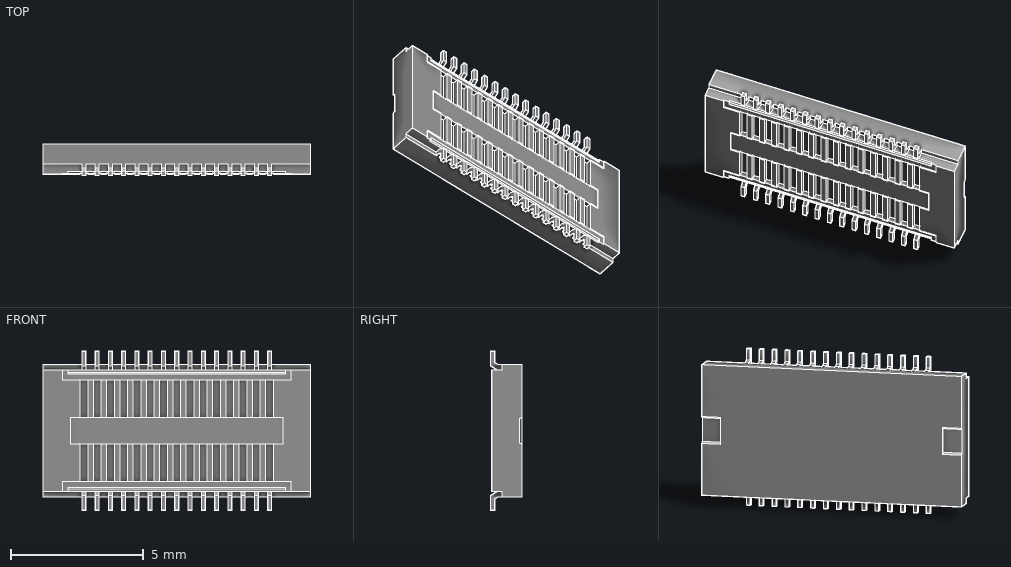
import cadquery as cq
LENGTH = 10.1
HOUSING_DEPTH = 1.15
HOUSING_HEIGHT = 5.01
FRONT_HEIGHT = 4.6
LEDGE_DEPTH = 0.38

CONTACT_COUNT = 15
PITCH = 0.5
CONTACT_WIDTH = 0.15
CONTACT_THICKNESS = 0.17
OVERALL_DEPTH = 1.2
OVERALL_HEIGHT = 6.0
BEND_START = 0.92
BEND_RISE = 0.07
HEEL_START = 0.96
HEEL_RISE = 0.15

SLOT_WIDTH = 0.29
SLOT_DEPTH = 0.22

RECESS_DEPTH = 0.04
BAR_LENGTH = 8.02
BAR_HEIGHT = 1.0
BAND_LENGTH = 8.61
BAND_INNER_Z = 1.91

REBATE_LENGTH = 8.2
REBATE_DEPTH = 0.1
REBATE_HEIGHT = 0.1
BEVEL_HEIGHT = 0.05

NOTCH_LENGTH = 0.73
NOTCH_DEPTH = 0.1
NOTCH_OPENING = 1.03
NOTCH_FLOOR = 0.91

FRONT_Y = -HOUSING_DEPTH
LEDGE_Y = FRONT_Y + LEDGE_DEPTH
HOUSING_TOP = HOUSING_HEIGHT / 2
LEDGE_Z = FRONT_HEIGHT / 2


def box_between(x_range, y_range, z_range):
    """Axis-aligned box given by its lower and upper limits on each axis."""
    lows, highs = zip(x_range, y_range, z_range)
    sizes = [high - low for low, high in zip(lows, highs)]
    return cq.Workplane("XY").box(*sizes, centered=False).translate(lows)


def extrude_along_x(yz_points, length, center_x=0):
    """Prism along X from a closed YZ outline, centred on center_x."""
    prism = cq.Workplane("YZ").polyline(yz_points).close().extrude(length / 2, both=True)
    return prism.translate((center_x, 0, 0))


def both_rows(upper):
    """The upper feature together with its mirror image below."""
    return upper.add(upper.mirror("XY")).combine()


def centered(size):
    return (-size / 2, size / 2)


def housing_blank():
    back = box_between(centered(LENGTH), (LEDGE_Y, 0), centered(HOUSING_HEIGHT))
    front = box_between(centered(LENGTH), (FRONT_Y, LEDGE_Y), centered(FRONT_HEIGHT))
    return back.union(front)


def bar_recess():
    return box_between(centered(BAR_LENGTH), (FRONT_Y, FRONT_Y + RECESS_DEPTH), centered(BAR_HEIGHT))


def band_recess():
    return box_between(centered(BAND_LENGTH), (FRONT_Y, FRONT_Y + RECESS_DEPTH), (BAND_INNER_Z, LEDGE_Z))


def edge_rebate():
    floor_z = LEDGE_Z - REBATE_HEIGHT
    band_y = FRONT_Y + RECESS_DEPTH
    floor_y = FRONT_Y + REBATE_DEPTH
    outline = [
        (band_y, floor_z - BEVEL_HEIGHT),
        (floor_y, floor_z),
        (floor_y, LEDGE_Z),
        (band_y, LEDGE_Z),
    ]
    return extrude_along_x(outline, REBATE_LENGTH)


def contact_slot(x):
    return box_between(
        (x - SLOT_WIDTH / 2, x + SLOT_WIDTH / 2),
        (FRONT_Y, FRONT_Y + SLOT_DEPTH),
        (BAR_HEIGHT / 2, BAND_INNER_Z),
    )


def end_notch(center_x):
    outline = [
        (0, -NOTCH_OPENING / 2),
        (-NOTCH_DEPTH, -NOTCH_FLOOR / 2),
        (-NOTCH_DEPTH, NOTCH_FLOOR / 2),
        (0, NOTCH_OPENING / 2),
    ]
    return extrude_along_x(outline, NOTCH_LENGTH, center_x)


def contact(x):
    """Foot on the ledge, sloped heel, then a straight tail standing out past the housing."""
    tail_front = -OVERALL_DEPTH
    tail_back = tail_front + CONTACT_THICKNESS
    tail_end = OVERALL_HEIGHT / 2
    outline = [
        (LEDGE_Y, LEDGE_Z),
        (-HEEL_START, LEDGE_Z),
        (tail_front, LEDGE_Z + HEEL_RISE),
        (tail_front, tail_end),
        (tail_back, tail_end),
        (tail_back, HOUSING_TOP + BEND_RISE),
        (-BEND_START, HOUSING_TOP),
        (LEDGE_Y, HOUSING_TOP),
    ]
    return extrude_along_x(outline, CONTACT_WIDTH, x)


result = housing_blank().cut(bar_recess())
result = result.cut(both_rows(band_recess())).cut(both_rows(edge_rebate()))

notch_center = (LENGTH - NOTCH_LENGTH) / 2
for notch_x in (-notch_center, notch_center):
    result = result.cut(end_notch(notch_x))

for index in range(CONTACT_COUNT):
    contact_x = (index - (CONTACT_COUNT - 1) / 2) * PITCH
    result = result.cut(both_rows(contact_slot(contact_x)))
    result = result.union(both_rows(contact(contact_x)))